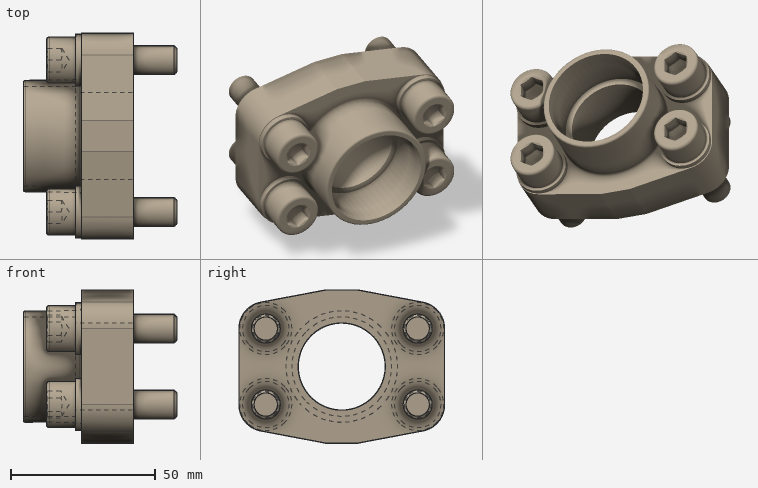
import cadquery as cq
import math

plate_width = 71.0
plate_height = 53.0
plate_thickness = 18.0
top_flat_width = 10.8

screw_spacing_y = 52.4
screw_spacing_z = 26.2
shank_diameter = 10.0
shank_protrusion = 15.0
shank_chamfer = 1.0
head_diameter = 16.0
head_height = 10.0
head_fillet = 1.0
washer_diameter = 17.95
washer_thickness = 2.0
socket_across_flats = 8.0
socket_depth = 5.0
socket_countersink = 0.35
socket_tip_angle = 118.0

collar_rim_diameter = 38.5
collar_root_diameter = 38.9
collar_length = 19.95
collar_rim_fillet = 0.65
collar_root_fillet = 0.7
bore_diameter = 29.95
counterbore_diameter = 34.35
counterbore_depth = 17.95

socket_corner_radius = socket_across_flats / math.sqrt(3)


def corner_tangent_point(corner_radius):
    """Point (y, z) where the sloped edge from the top flat meets the corner round."""
    center_y = screw_spacing_y / 2
    center_z = screw_spacing_z / 2
    offset_y = top_flat_width / 2 - center_y
    offset_z = plate_height / 2 - center_z
    direction = math.atan2(offset_z, offset_y)
    spread = math.acos(corner_radius / math.hypot(offset_y, offset_z))
    angle = direction - spread
    return (
        center_y + corner_radius * math.cos(angle),
        center_z + corner_radius * math.sin(angle),
    )


def make_plate():
    """Plate with rounded corners concentric with the screws and sloped long edges."""
    half_height = plate_height / 2
    half_flat = top_flat_width / 2
    corner_y = screw_spacing_y / 2
    corner_z = screw_spacing_z / 2
    corner_radius = plate_width / 2 - corner_y
    tangent_y, tangent_z = corner_tangent_point(corner_radius)
    middle_y = corner_y + corner_radius * math.sqrt(0.5)
    middle_z = corner_z + corner_radius * math.sqrt(0.5)
    quarter = (
        cq.Workplane("YZ")
        .lineTo(plate_width / 2, 0)
        .lineTo(plate_width / 2, corner_z)
        .threePointArc((middle_y, middle_z), (tangent_y, tangent_z))
        .lineTo(half_flat, half_height)
        .lineTo(0, half_height)
        .close()
        .extrude(plate_thickness)
    )
    half = quarter.union(quarter.mirror("XZ"))
    return half.union(half.mirror("XY")).clean()


def make_collar():
    """Slightly tapered pipe collar with a rounded rim and a concave fillet at the plate."""
    root_bulge = collar_root_fillet * (1 - math.sqrt(0.5))
    rim_bulge = collar_rim_fillet * (1 - math.sqrt(0.5))
    root_radius = collar_root_diameter / 2
    rim_radius = collar_rim_diameter / 2
    return (
        cq.Workplane("XY")
        .moveTo(plate_thickness, 0)
        .lineTo(plate_thickness, root_radius + collar_root_fillet)
        .lineTo(0, root_radius + collar_root_fillet)
        .threePointArc((-root_bulge, root_radius + root_bulge), (-collar_root_fillet, root_radius))
        .lineTo(collar_rim_fillet - collar_length, rim_radius)
        .threePointArc(
            (rim_bulge - collar_length, rim_radius - rim_bulge),
            (-collar_length, rim_radius - collar_rim_fillet),
        )
        .lineTo(-collar_length, 0)
        .close()
        .revolve(360, (0, 0, 0), (1, 0, 0))
    )


def make_bore():
    """Through bore with a wider pipe socket from the collar end."""
    through = (
        cq.Workplane("YZ", origin=(-collar_length, 0, 0))
        .circle(bore_diameter / 2)
        .extrude(collar_length + plate_thickness)
    )
    pipe_socket = (
        cq.Workplane("YZ", origin=(-collar_length, 0, 0))
        .circle(counterbore_diameter / 2)
        .extrude(counterbore_depth)
    )
    return through.union(pipe_socket)


def make_hex_socket(head_face):
    """Hexagonal socket with a conical bottom and a bevelled entry, points up and down."""
    tip_height = socket_corner_radius / math.tan(math.radians(socket_tip_angle / 2))
    hexagon = (
        cq.Workplane("YZ", origin=(head_face, 0, 0))
        .polygon(6, 2 * socket_corner_radius)
        .extrude(socket_depth + tip_height)
        .rotate((0, 0, 0), (1, 0, 0), 90)
    )
    drilled = (
        cq.Workplane("XY")
        .moveTo(head_face, 0)
        .lineTo(head_face, socket_corner_radius)
        .lineTo(head_face + socket_depth, socket_corner_radius)
        .lineTo(head_face + socket_depth + tip_height, 0)
        .close()
        .revolve(360, (0, 0, 0), (1, 0, 0))
    )
    entry = (
        cq.Workplane("XY")
        .moveTo(head_face, 0)
        .lineTo(head_face, socket_corner_radius)
        .lineTo(head_face + socket_countersink, socket_across_flats / 2)
        .lineTo(head_face + socket_countersink, 0)
        .close()
        .revolve(360, (0, 0, 0), (1, 0, 0))
    )
    return hexagon.intersect(drilled).union(entry)


def make_screw():
    """Socket head screw with its washer, on the X axis."""
    head_face = -washer_thickness - head_height
    head = (
        cq.Workplane("YZ", origin=(head_face, 0, 0))
        .circle(head_diameter / 2)
        .extrude(head_height)
        .faces("<X")
        .edges()
        .fillet(head_fillet)
    )
    washer = (
        cq.Workplane("YZ", origin=(-washer_thickness, 0, 0))
        .circle(washer_diameter / 2)
        .extrude(washer_thickness)
    )
    shank = (
        cq.Workplane("YZ")
        .circle(shank_diameter / 2)
        .extrude(plate_thickness + shank_protrusion)
        .faces(">X")
        .edges()
        .chamfer(shank_chamfer)
    )
    return head.union(washer).union(shank).cut(make_hex_socket(head_face))


result = make_plate().union(make_collar()).cut(make_bore())
screw = make_screw()
for side_y in (-1, 1):
    for side_z in (-1, 1):
        position = (0, side_y * screw_spacing_y / 2, side_z * screw_spacing_z / 2)
        result = result.union(screw.translate(position))